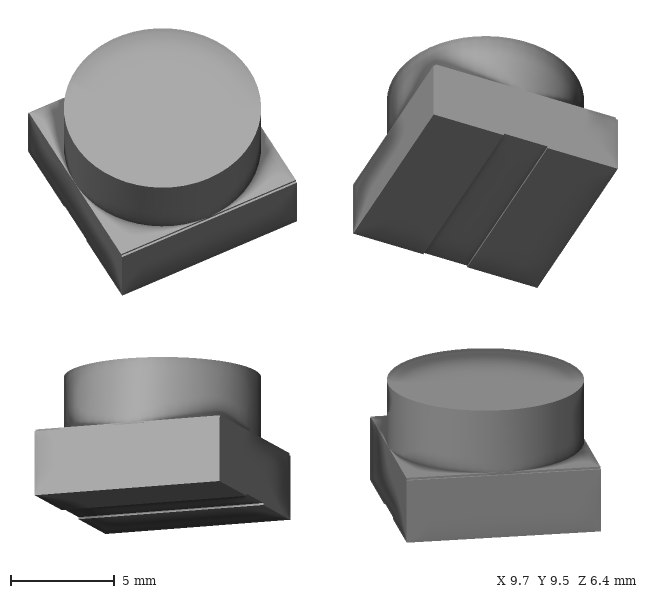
import cadquery as cq

overall_length = 9.7
base_side = 9.5
overall_height = 6.4
foot_length = 3.7

plate_thickness = (overall_length - base_side) / 2
block_height = (overall_height - plate_thickness) / 2
base_bottom = plate_thickness
base_top = base_bottom + block_height
terminal_top = base_top - plate_thickness


def make_base():
    """Square block raised on the feet of the terminals."""
    return (
        cq.Workplane("XY", origin=(0, 0, base_bottom))
        .rect(base_side, base_side)
        .extrude(block_height)
    )


def make_round_top():
    """Cylinder standing on the base, touching the midpoints of its sides."""
    return (
        cq.Workplane("XY", origin=(0, 0, base_top))
        .circle(base_side / 2)
        .extrude(block_height)
    )


def make_terminal(side):
    """L-shaped plate on the end face and underside of the base; side is -1 or 1 along X."""
    outer_x = side * overall_length / 2
    inner_x = side * base_side / 2
    foot_end_x = side * (overall_length / 2 - foot_length)
    profile = [
        (outer_x, 0),
        (outer_x, terminal_top),
        (inner_x, terminal_top),
        (inner_x, base_bottom),
        (foot_end_x, base_bottom),
        (foot_end_x, 0),
    ]
    return (
        cq.Workplane("XZ")
        .polyline(profile)
        .close()
        .extrude(base_side / 2, both=True)
    )


base = make_base()
round_top = make_round_top()
terminals = [make_terminal(side) for side in (-1, 1)]

result = cq.Compound.makeCompound(
    [base.val(), round_top.val(), *[terminal.val() for terminal in terminals]]
)